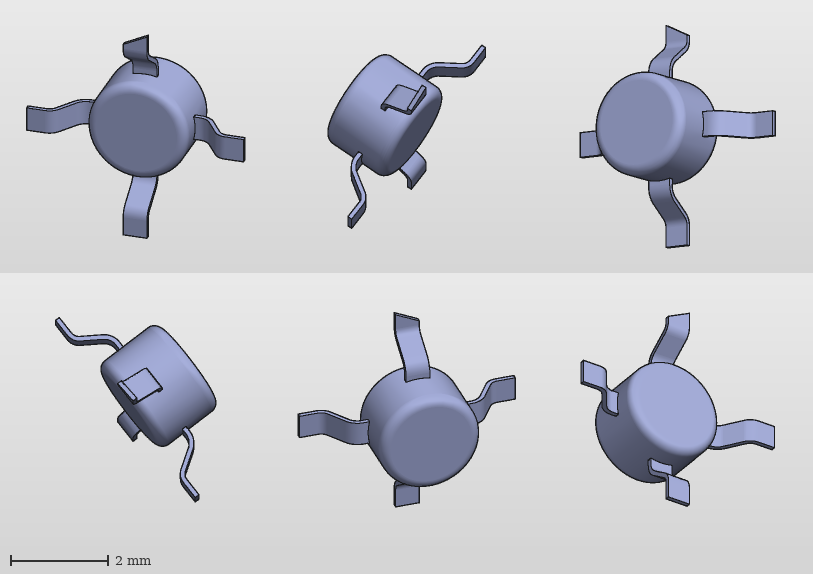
import cadquery as cq
import math

body_radius = 1.08
body_length = 1.52
body_edge_radius = 0.2
body_standoff = 0.1

lead_reach = 2.34
lead_width = 0.515
lead_thickness = 0.1
lead_rise = 0.665
lead_angle = 56.5
slope_middle = 1.56
bend_radius = 0.3
lead_root = 0.935

tip_height = 2.29
tip_drop = 0.25


def make_body():
    cylinder = cq.Workplane("XZ", origin=(0, body_standoff, 0)).circle(body_radius).extrude(-body_length)
    return cylinder.faces("<Y or >Y").edges().fillet(body_edge_radius)


def make_lead():
    """Lead pointing to +X, with its foot on the seating plane."""
    slope_half_run = lead_rise / math.tan(math.radians(lead_angle)) / 2
    upper_shift = lead_thickness * math.tan(math.radians(lead_angle / 2))

    foot_lower = (slope_middle + slope_half_run, 0)
    root_lower = (slope_middle - slope_half_run, lead_rise)
    foot_upper = (foot_lower[0] + upper_shift, lead_thickness)
    root_upper = (root_lower[0] + upper_shift, lead_rise + lead_thickness)

    outline = [
        (lead_reach, 0),
        foot_lower,
        root_lower,
        (lead_root, lead_rise),
        (lead_root, lead_rise + lead_thickness),
        root_upper,
        foot_upper,
        (lead_reach, lead_thickness),
    ]
    lead = cq.Workplane("XY").polyline(outline).close().extrude(lead_width / 2, both=True)

    bends = [
        (foot_lower, bend_radius),
        (foot_upper, bend_radius - lead_thickness),
        (root_lower, bend_radius),
        (root_upper, bend_radius + lead_thickness),
    ]
    for (x, y), radius in bends:
        lead = lead.edges(cq.selectors.NearestToPointSelector((x, y, 0))).fillet(radius)
    return lead


def make_tip_cutter():
    """Wedge above the slanted tip, which is highest on its +X side."""
    half_width = lead_width / 2
    corners = [
        (-half_width, tip_height - tip_drop),
        (half_width, tip_height),
        (half_width, lead_reach),
        (-half_width, lead_reach),
    ]
    return cq.Workplane("XZ").polyline(corners).close().extrude(-lead_thickness)


result = make_body()
for turn in (0, 90, 180, 270):
    result = result.union(make_lead().rotate((0, 0, 0), (0, 1, 0), turn))
result = result.cut(make_tip_cutter())